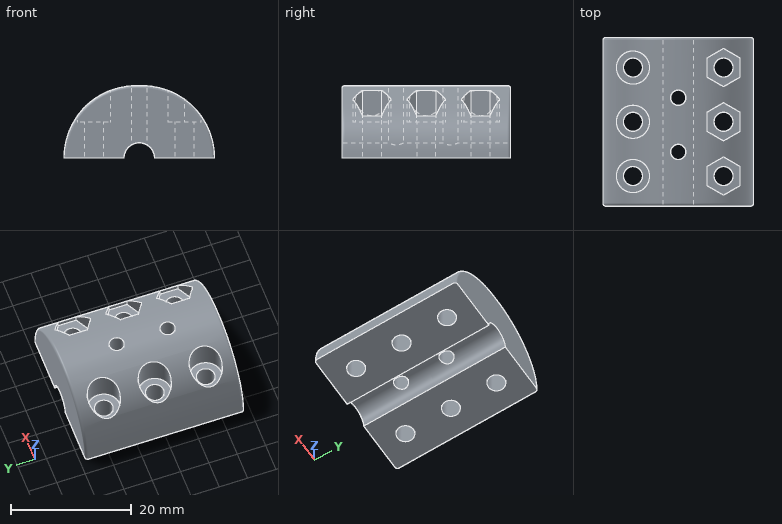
import cadquery as cq
import math

length = 28.0
height = 12.0
crown_width = 0.98
edge_round = 0.5
groove_diameter = 5.0

screw_offset = 7.5
screw_pitch = 9.0
screw_diameter = 3.1
head_diameter = 5.5
nut_across_flats = 5.5
seat_height = 6.0

pin_diameter = 2.5
pin_shift = 0.5

half_crown = crown_width / 2
half_width = half_crown + height
diagonal = height * 0.5 ** 0.5
screw_rows = [-screw_pitch, 0, screw_pitch]
pin_rows = [-screw_pitch / 2 - pin_shift, screw_pitch / 2 - pin_shift]


def make_body():
    """Half-round bar with a flat crown and rounded curved end edges."""
    profile = (
        cq.Workplane("XZ", origin=(0, length / 2, 0))
        .moveTo(-half_width, 0)
        .threePointArc((-half_crown - diagonal, diagonal), (-half_crown, height))
        .lineTo(half_crown, height)
        .threePointArc((half_crown + diagonal, diagonal), (half_width, 0))
        .close()
    )
    bar = profile.extrude(length)
    end_edges = bar.faces("<Y or >Y").edges("not <Z")
    return end_edges.fillet(edge_round)


def vertical_holes(x, rows, diameter):
    """Through holes in a line along Y at the given X."""
    points = [(x, y) for y in rows]
    return cq.Workplane("XY").pushPoints(points).circle(diameter / 2).extrude(height)


def head_pockets():
    """Round pockets for the screw heads, open to the top."""
    points = [(-screw_offset, y) for y in screw_rows]
    seat = cq.Workplane("XY", origin=(0, 0, seat_height))
    return seat.pushPoints(points).circle(head_diameter / 2).extrude(height)


def nut_pockets():
    """Hexagonal pockets with their flats facing X."""
    vertex_radius = nut_across_flats / math.sqrt(3)
    corner_angles = [math.radians(30 + 60 * corner) for corner in range(6)]
    pockets = cq.Workplane("XY", origin=(0, 0, seat_height))
    for y in screw_rows:
        corners = [
            (screw_offset + vertex_radius * math.cos(angle), y + vertex_radius * math.sin(angle))
            for angle in corner_angles
        ]
        pockets = pockets.polyline(corners).close()
    return pockets.extrude(height)


def rod_groove():
    """Half-round groove along the middle of the base."""
    return cq.Workplane("XZ").circle(groove_diameter / 2).extrude(length / 2, both=True)


result = (
    make_body()
    .cut(rod_groove())
    .cut(vertical_holes(-screw_offset, screw_rows, screw_diameter))
    .cut(vertical_holes(screw_offset, screw_rows, screw_diameter))
    .cut(vertical_holes(0, pin_rows, pin_diameter))
    .cut(head_pockets())
    .cut(nut_pockets())
)